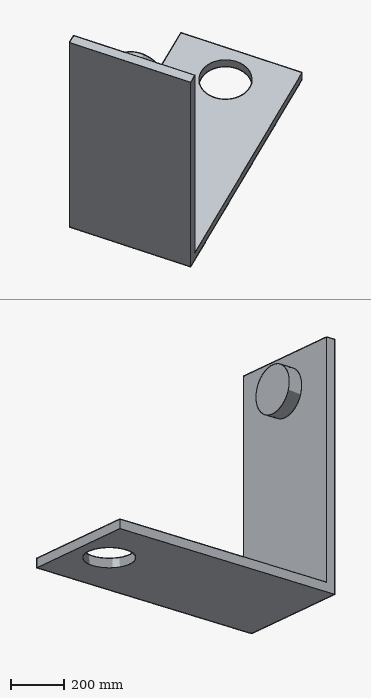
import cadquery as cq

width = 500.0
leg_length = 1040.0
thickness = 40.0
circle_diameter = 200.0
end_distance = 150.0
boss_height = 60.0

centre_distance = leg_length - end_distance


def angle_bracket():
    """L-shaped profile in the YZ plane, extruded symmetrically along X."""
    profile = [
        (0, 0),
        (leg_length, 0),
        (leg_length, thickness),
        (thickness, thickness),
        (thickness, leg_length),
        (0, leg_length),
    ]
    return cq.Workplane("YZ").polyline(profile).close().extrude(width / 2, both=True)


def base_hole():
    """Cutter for the round hole through the horizontal leg."""
    return (
        cq.Workplane("XY")
        .center(0, centre_distance)
        .circle(circle_diameter / 2)
        .extrude(thickness)
    )


def wall_boss():
    """Round boss on the inner face of the upright leg, pointing along +Y."""
    return (
        cq.Workplane("XZ", origin=(0, thickness, 0))
        .center(0, centre_distance)
        .circle(circle_diameter / 2)
        .extrude(-boss_height)
    )


result = angle_bracket().cut(base_hole()).union(wall_boss())